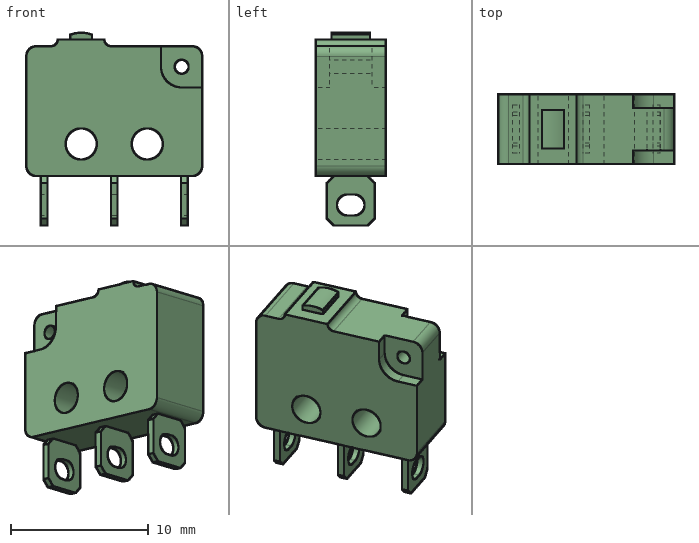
import cadquery as cq

housing_length = 12.8
housing_depth = 5.1
housing_height = 9.46
corner_radius = 0.75

platform_height = 0.49
platform_half_width = 1.7
platform_x = -2.41

mounting_hole_diameter = 2.25
mounting_hole_spacing = 4.8
mounting_hole_z = 2.35

recess_size = 3.0
recess_depth = 1.0
recess_radius = recess_size / 2
pivot_hole_diameter = 1.0

plunger_width = 1.6
plunger_depth = 2.81
plunger_height = 0.49
plunger_dome_rise = 0.15
plunger_x = -mounting_hole_spacing / 2

terminal_count = 3
terminal_spacing = 5.1
terminal_thickness = 0.5
terminal_width = 3.5
terminal_length = 14.04 - housing_height - platform_height - plunger_height
terminal_chamfer = 0.5
slot_length = 2.0
slot_width = 1.5
slot_tip_distance = 1.5

platform_top = housing_height + platform_height


def along_depth(sketch):
    """Extrude an XZ sketch through the full housing depth, centred on Y."""
    return sketch.extrude(housing_depth / 2, both=True)


def make_platform():
    """Platform whose concave sides flare out onto the housing top."""
    flare = platform_height
    left = platform_x - platform_half_width
    right = platform_x + platform_half_width
    outline = (
        cq.Workplane("XZ")
        .moveTo(left - flare, housing_height)
        .radiusArc((left, platform_top), -flare)
        .lineTo(right, platform_top)
        .radiusArc((right + flare, housing_height), -flare)
        .close()
    )
    return along_depth(outline)


def make_recess(side):
    """Cutter for the corner recess in the face on the given side of Y (-1 or 1)."""
    cutter = (
        cq.Workplane("XY")
        .box(recess_size, recess_depth, recess_size)
        .edges("|Y and <X and <Z")
        .fillet(recess_radius)
    )
    return cutter.translate((
        (housing_length - recess_size) / 2,
        side * (housing_depth - recess_depth) / 2,
        housing_height - recess_size / 2,
    ))


def make_hole(x, z, diameter):
    """Cutter for a round hole through the housing depth."""
    return along_depth(cq.Workplane("XZ").center(x, z).circle(diameter / 2))


def make_housing():
    body = (
        cq.Workplane("XY")
        .box(housing_length, housing_depth, housing_height, centered=(True, True, False))
        .edges("|Y")
        .fillet(corner_radius)
        .union(make_platform())
    )
    for side in (-1, 1):
        body = body.cut(make_recess(side))
        body = body.cut(make_hole(side * mounting_hole_spacing / 2, mounting_hole_z, mounting_hole_diameter))
    pivot_x = housing_length / 2 - recess_radius
    pivot_z = housing_height - recess_radius
    return body.cut(make_hole(pivot_x, pivot_z, pivot_hole_diameter))


def make_plunger():
    """Plunger standing on the platform."""
    left = plunger_x - plunger_width / 2
    right = plunger_x + plunger_width / 2
    top = platform_top + plunger_height
    shoulder = top - plunger_dome_rise
    return (
        cq.Workplane("XZ")
        .moveTo(left, platform_top)
        .lineTo(left, shoulder)
        .threePointArc((plunger_x, top), (right, shoulder))
        .lineTo(right, platform_top)
        .close()
        .extrude(plunger_depth / 2, both=True)
    )


def make_terminal(x):
    """Chamfered blade hanging from the housing underside, with a slotted eye."""
    blade = (
        cq.Workplane("XY")
        .box(terminal_thickness, terminal_width, terminal_length)
        .edges("|X")
        .chamfer(terminal_chamfer)
        .translate((x, 0, -terminal_length / 2))
    )
    slot = (
        cq.Workplane("YZ", origin=(x, 0, slot_tip_distance - terminal_length))
        .slot2D(slot_length, slot_width)
        .extrude(terminal_thickness, both=True)
    )
    return blade.cut(slot)


housing = make_housing()
plunger = make_plunger()
terminals = []
for index in range(terminal_count):
    terminal_x = (index - (terminal_count - 1) / 2) * terminal_spacing
    terminals.append(make_terminal(terminal_x).val())

result = cq.Compound.makeCompound([housing.val(), plunger.val(), *terminals])